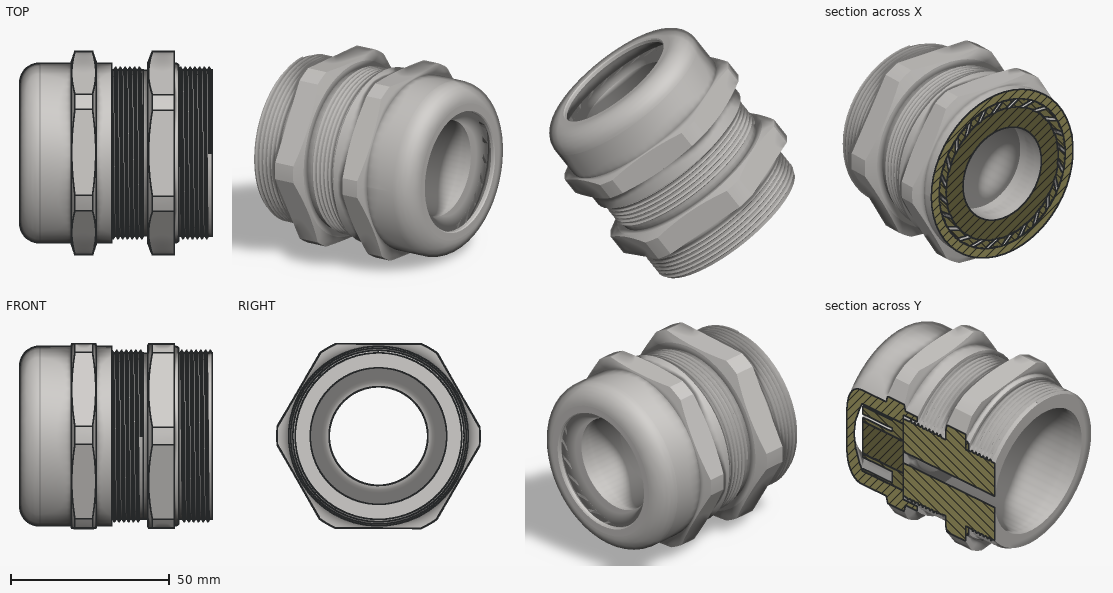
import cadquery as cq
import math


TOTAL_LENGTH = 60.61

ACROSS_FLATS = 58.0
ACROSS_CORNERS = 64.0
HEX_BEVEL_BASE = 56.57
NUT_HEX_TURN = -0.48

NUT_DIAMETER = HEX_BEVEL_BASE
NUT_LENGTH = 29.0
NUT_ROUNDING = 6.3
NUT_HEX_START = 16.15
NUT_HEX_END = 24.15
NUT_HEX_BEVEL = 1.24
LIP_DIAMETER = 38.52
LIP_RIM_DIAMETER = 39.2
LIP_END = 1.35

BODY_START = 23.2
BODY_BORE = 43.0
BODY_HEX_START = 40.3
BODY_HEX_END = 48.65
BODY_HEX_BEVEL = 1.45

CAGE_DIAMETER = 50.0
CAGE_FRONT = 6.47
SLOT_COUNT = 24
SLOT_WIDTH = 1.0
SLOT_DEPTH = 12.0
SLOT_SLANT = 56.0
SLOT_START_ANGLE = -9.5

SEAL_DIAMETER = 44.52
SEAL_BORE = 31.0

THREAD_MAJOR = 53.95
THREAD_ROOT = 52.45
NECK_DIAMETER = 52.26
THREAD_PITCH = 1.5
THREAD_ANGLE = 60.0
RIDGE_OVERLAP = 0.1
CAP_THREAD_END = 38.42
CAP_THREAD_END_ANGLE = 180.0
NECK_START = 38.92
CAP_THREAD_TURNS = 9.0
MOUNT_THREAD_END = 60.0
MOUNT_THREAD_END_ANGLE = 90.0
MOUNT_THREAD_TURNS = 6.25

GASKET_DIAMETER = HEX_BEVEL_BASE
GASKET_LENGTH = 1.4
GASKET_EDGE_DROP = 0.6


def cylinder(diameter, start, end):
    """Solid cylinder on the X axis between two X positions."""
    return cq.Workplane("YZ", origin=(start, 0, 0)).circle(diameter / 2).extrude(end - start)


def hexagon(start, end, bevel, bevel_rear):
    """Hexagon with flats at +Z and -Z, rounded corners and conically bevelled ends."""
    sharp_corners = ACROSS_FLATS / math.cos(math.radians(30))
    prism = cq.Workplane("YZ", origin=(start, 0, 0)).polygon(6, sharp_corners).extrude(end - start)
    inner = HEX_BEVEL_BASE / 2
    outer = ACROSS_CORNERS / 2
    envelope = cq.Workplane("XY").moveTo(start, 0).lineTo(start, inner).lineTo(start + bevel, outer)
    if bevel_rear:
        envelope = envelope.lineTo(end - bevel, outer).lineTo(end, inner)
    else:
        envelope = envelope.lineTo(end, outer)
    envelope = envelope.lineTo(end, 0).close().revolve(360, (0, 0, 0), (1, 0, 0))
    return prism.intersect(envelope)


def thread_ridge(end, end_angle, turns):
    """Triangular helical ridge whose crest stops at X = end, end_angle degrees from Y towards Z."""
    length = turns * THREAD_PITCH
    crest = THREAD_MAJOR / 2
    sunk = THREAD_ROOT / 2 - RIDGE_OVERLAP
    half = (crest - sunk) * math.tan(math.radians(THREAD_ANGLE / 2))
    path = cq.Workplane(cq.Wire.makeHelix(THREAD_PITCH, length, sunk))
    profile = cq.Workplane("XZ").polyline([(sunk, -half), (crest, 0), (sunk, half)]).close()
    ridge = profile.sweep(path, isFrenet=True)
    along_x = ridge.rotate((0, 0, 0), (1, 1, 1), 120)
    turned = along_x.rotate((0, 0, 0), (1, 0, 0), end_angle - 360 * turns)
    return turned.translate((end - length, 0, 0))


def make_dome_nut():
    shell = cylinder(NUT_DIAMETER, 0, NUT_LENGTH).faces("<X").edges().fillet(NUT_ROUNDING)
    nut_hex = hexagon(NUT_HEX_START, NUT_HEX_END, NUT_HEX_BEVEL, True)
    nut_hex = nut_hex.rotate((0, 0, 0), (1, 0, 0), NUT_HEX_TURN)
    mouth_chamfer = (LIP_RIM_DIAMETER - LIP_DIAMETER) / 2
    cavity = (
        cq.Workplane("XY")
        .lineTo(0, LIP_RIM_DIAMETER / 2)
        .lineTo(mouth_chamfer, LIP_DIAMETER / 2)
        .lineTo(LIP_END, LIP_DIAMETER / 2)
        .lineTo(CAGE_FRONT, CAGE_DIAMETER / 2)
        .lineTo(BODY_START, CAGE_DIAMETER / 2)
        .lineTo(BODY_START, THREAD_MAJOR / 2)
        .lineTo(NUT_LENGTH, THREAD_MAJOR / 2)
        .lineTo(NUT_LENGTH, 0)
        .close()
        .revolve(360, (0, 0, 0), (1, 0, 0))
    )
    return shell.union(nut_hex).cut(cavity)


def make_cage():
    core = cylinder(SEAL_DIAMETER, CAGE_FRONT, BODY_START)
    ring = cylinder(CAGE_DIAMETER, CAGE_FRONT, BODY_START).cut(core)
    slot = (
        cq.Workplane("XY")
        .box(SLOT_DEPTH, CAGE_DIAMETER / 2, SLOT_WIDTH, centered=(False, True, True))
        .rotate((0, 0, 0), (1, 0, 0), SLOT_SLANT)
        .translate((CAGE_FRONT, SEAL_DIAMETER / 2, 0))
        .cut(core)
    )
    for index in range(SLOT_COUNT):
        angle = SLOT_START_ANGLE + index * 360 / SLOT_COUNT
        ring = ring.cut(slot.rotate((0, 0, 0), (1, 0, 0), angle))
    return ring


def make_seal():
    plug = cylinder(SEAL_DIAMETER, CAGE_FRONT, BODY_START)
    return plug.cut(cylinder(SEAL_BORE, CAGE_FRONT, BODY_START))


def make_body():
    core = cylinder(THREAD_ROOT, BODY_START, TOTAL_LENGTH)
    core = core.cut(cylinder(BODY_BORE, BODY_START, TOTAL_LENGTH))
    core = core.union(thread_ridge(CAP_THREAD_END, CAP_THREAD_END_ANGLE, CAP_THREAD_TURNS))
    core = core.union(thread_ridge(MOUNT_THREAD_END, MOUNT_THREAD_END_ANGLE, MOUNT_THREAD_TURNS))
    neck_skin = cylinder(THREAD_ROOT, NECK_START, BODY_HEX_START)
    core = core.cut(neck_skin.cut(cylinder(NECK_DIAMETER, NECK_START, BODY_HEX_START)))
    grip = hexagon(BODY_HEX_START, BODY_HEX_END, BODY_HEX_BEVEL, False)
    return core.union(grip.cut(cylinder(BODY_BORE, BODY_HEX_START, BODY_HEX_END)))


def make_gasket():
    end = BODY_HEX_END + GASKET_LENGTH
    crown = GASKET_DIAMETER / 2
    rounding = (GASKET_LENGTH**2 + GASKET_EDGE_DROP**2) / (2 * GASKET_EDGE_DROP)
    return (
        cq.Workplane("XY")
        .moveTo(BODY_HEX_END, THREAD_ROOT / 2)
        .lineTo(BODY_HEX_END, crown)
        .radiusArc((end, crown - GASKET_EDGE_DROP), rounding)
        .lineTo(end, THREAD_ROOT / 2)
        .close()
        .revolve(360, (0, 0, 0), (1, 0, 0))
    )


dome_nut = make_dome_nut()
cage = make_cage()
seal = make_seal()
body = make_body()
gasket = make_gasket()

result = cq.Compound.makeCompound([dome_nut.val(), cage.val(), seal.val(), body.val(), gasket.val()])